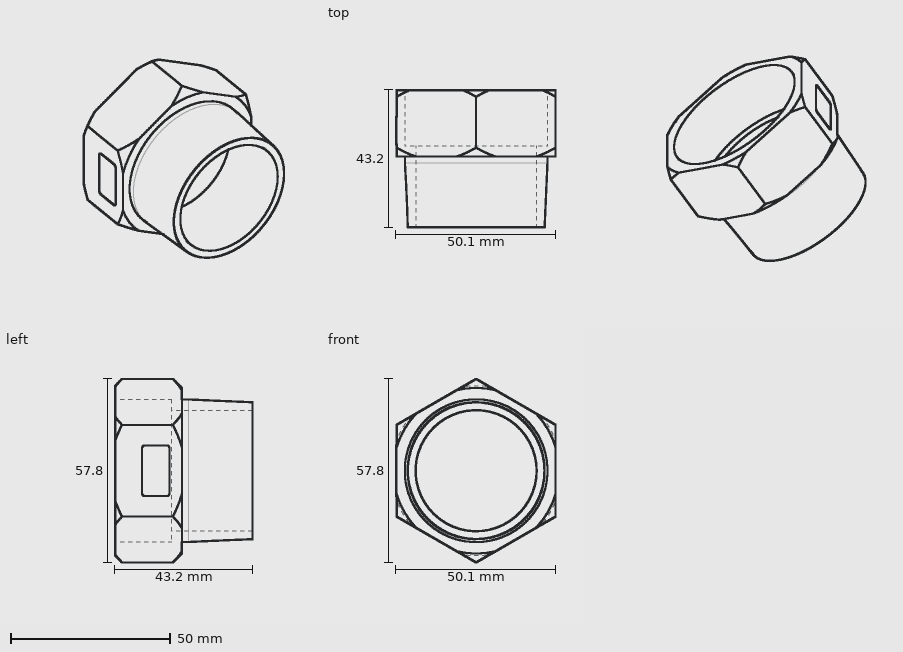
import cadquery as cq
import math

across_corners = 57.75
across_flats = across_corners * math.cos(math.radians(30))
hex_length = 20.95
spigot_face_chamfer = 2.8
open_face_chamfer = 2.15

total_length = 43.2
spigot_end = hex_length - total_length
collar_diameter = 44.9
collar_length = 2.0
spigot_end_diameter = 42.9
lip_width = 0.1
lip_length = 0.05

bore_diameter = 38.0
socket_diameter = collar_diameter
socket_depth = 17.65

panel_length = 8.65
panel_height = 16.0
panel_thickness = 0.1
panel_overlap = 0.6
panel_corner_radius = 1.0
panel_gap = 3.85


def revolve_about_y(profile):
    """Turn a closed (radius, y) profile around the Y axis."""
    return cq.Workplane("XY").polyline(profile).close().revolve(360, (0, 0, 0), (0, 1, 0))


def cylinder_along_y(diameter, start, end):
    """Cylinder on the Y axis from y = start to the larger y = end."""
    return cq.Workplane("XZ", origin=(0, start, 0)).circle(diameter / 2).extrude(start - end)


def hexagon_body():
    """Hexagonal prism with its corners chamfered by turning at both faces."""
    prism = (
        cq.Workplane("XZ")
        .transformed(rotate=(0, 0, 90))
        .polygon(6, across_corners)
        .extrude(-hex_length)
    )
    corner_radius = across_corners / 2
    envelope = revolve_about_y([
        (0, 0),
        (corner_radius - spigot_face_chamfer, 0),
        (corner_radius, spigot_face_chamfer),
        (corner_radius, hex_length - open_face_chamfer),
        (corner_radius - open_face_chamfer, hex_length),
        (0, hex_length),
    ])
    return prism.intersect(envelope)


def spigot():
    """Short cylindrical collar and a slight taper with a broken edge at the end."""
    collar_radius = collar_diameter / 2
    end_radius = spigot_end_diameter / 2
    return revolve_about_y([
        (0, 0),
        (collar_radius, 0),
        (collar_radius, -collar_length),
        (end_radius + lip_width, spigot_end + lip_length),
        (end_radius, spigot_end),
        (0, spigot_end),
    ])


def panel():
    """Thin rounded plate standing proud of the -X flat."""
    return (
        cq.Workplane("XY")
        .box(panel_thickness + panel_overlap, panel_length, panel_height, centered=(False, False, True))
        .edges("|X")
        .fillet(panel_corner_radius)
        .translate((-across_flats / 2 - panel_thickness, panel_gap, 0))
    )


bore = cylinder_along_y(bore_diameter, spigot_end, hex_length)
socket = cylinder_along_y(socket_diameter, hex_length - socket_depth, hex_length)

result = hexagon_body().union(spigot()).union(panel()).cut(bore).cut(socket)